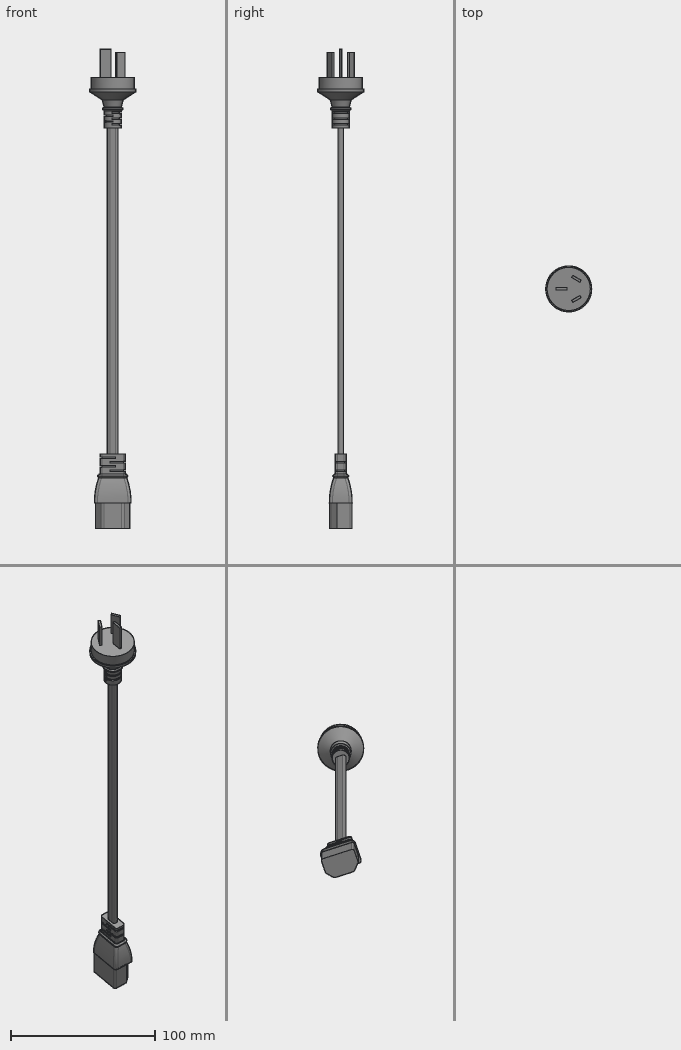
import cadquery as cq
import math

TOTAL_HEIGHT = 332.5
CORD_BOTTOM = 52.0
CORD_TOP = 277.5

CORD_WIDTH = 7.5
CORD_THICKNESS = 4.0

PLUG_FACE_Z = 313.0
PLUG_FACE_RADIUS = 15.0
FLANGE_RADIUS = 16.0
FLANGE_TOP_Z = 305.0
FLANGE_BOTTOM_Z = 303.0
CONE_BOTTOM_RADIUS = 7.3
CONE_BOTTOM_Z = 297.3
NECK_RADIUS = 6.0
COLLAR_RADIUS = 7.0
COLLAR_TOP_Z = 292.3
COLLAR_RIM_TOP_Z = 291.5
COLLAR_RIM_BOTTOM_Z = 290.5
COLLAR_BOTTOM_Z = 289.5
SLEEVE_RADIUS = 6.0

BLADE_THICKNESS = 1.5
EARTH_WIDTH = 7.5
EARTH_OFFSET = 5.0
SIDE_BLADE_WIDTH = 6.5
SIDE_BLADE_TOP_Z = 330.2
SIDE_BLADE_X = 5.3
SIDE_BLADE_Y = 7.0
SIDE_BLADE_TILT = 30.0

GROOVE_HEIGHT = 1.0
GROOVE_DEPTH = 1.3
PLUG_GROOVE_TOP_Z = 288.3
PLUG_GROOVE_PITCH = 2.0
PLUG_GROOVE_COUNT = 5
PLUG_GROOVE_OVERLAP = 0.3
CONNECTOR_GROOVE_TOP_Z = 49.2
CONNECTOR_GROOVE_PITCH = 3.0
CONNECTOR_GROOVE_COUNT = 4
CONNECTOR_GROOVE_OVERLAP = 2.0

SOCKET_WIDTH = 24.0
SOCKET_DEPTH = 15.5
SOCKET_HEIGHT = 18.0
SOCKET_CHAMFER_X = 4.5
SOCKET_CHAMFER_Y = 5.3
SOCKET_CHAMFER_ROUND = 3.0
SOCKET_BACK_ROUND = 1.3
GRIP_WIDTH = 25.5
GRIP_DEPTH = 16.0
GRIP_NARROWING = 3.0
GRIP_TOP_Z = 35.2
GRIP_CORNER_RADIUS = 2.15
RIDGE_TOP_Z = 38.0
RIDGE_PROJECTION = 1.83
RIDGE_CHAMFER = 1.25
RELIEF_WIDTH = 17.5
RELIEF_DEPTH = 7.5
RELIEF_CORNER_RADIUS = 1.5


def upright_block(width, depth, bottom, top):
    """Rectangular block centred on the Z axis between two heights."""
    return (
        cq.Workplane("XY").workplane(offset=bottom)
        .rect(width, depth).extrude(top - bottom)
    )


def half_space(side, overlap, size):
    """Block on one side (-1 or +1) in X that reaches `overlap` past the middle plane."""
    return (
        cq.Workplane("XY")
        .box(size, size, TOTAL_HEIGHT, centered=(True, True, False))
        .translate((side * (size / 2 - overlap), 0, 0))
    )


def make_cord():
    return (
        cq.Workplane("XY").workplane(offset=CORD_BOTTOM)
        .slot2D(CORD_WIDTH, CORD_THICKNESS)
        .extrude(CORD_TOP - CORD_BOTTOM)
    )


def make_plug_groove(index):
    """Groove around half of the plug's sleeve; the sides alternate, starting on +X."""
    side = 1 if index % 2 == 0 else -1
    middle = PLUG_GROOVE_TOP_Z - index * PLUG_GROOVE_PITCH
    ring = (
        cq.Workplane("XY").workplane(offset=middle - GROOVE_HEIGHT / 2)
        .circle(SLEEVE_RADIUS + GROOVE_DEPTH)
        .circle(SLEEVE_RADIUS - GROOVE_DEPTH)
        .extrude(GROOVE_HEIGHT)
    )
    return ring.intersect(half_space(side, PLUG_GROOVE_OVERLAP, 4 * SLEEVE_RADIUS))


def make_plug():
    profile = [
        (0, PLUG_FACE_Z),
        (PLUG_FACE_RADIUS, PLUG_FACE_Z),
        (PLUG_FACE_RADIUS, FLANGE_TOP_Z),
        (FLANGE_RADIUS, FLANGE_TOP_Z),
        (FLANGE_RADIUS, FLANGE_BOTTOM_Z),
        (CONE_BOTTOM_RADIUS, CONE_BOTTOM_Z),
        (NECK_RADIUS, COLLAR_TOP_Z),
        (COLLAR_RADIUS, COLLAR_RIM_TOP_Z),
        (COLLAR_RADIUS, COLLAR_RIM_BOTTOM_Z),
        (SLEEVE_RADIUS, COLLAR_BOTTOM_Z),
        (SLEEVE_RADIUS, CORD_TOP),
        (0, CORD_TOP),
    ]
    plug = cq.Workplane("XZ").polyline(profile).close().revolve(360, (0, 0), (0, 1))
    for index in range(PLUG_GROOVE_COUNT):
        plug = plug.cut(make_plug_groove(index))
    return plug


def make_earth_blade():
    blade = upright_block(EARTH_WIDTH, BLADE_THICKNESS, PLUG_FACE_Z, TOTAL_HEIGHT)
    return blade.translate((-EARTH_OFFSET, 0, 0))


def make_side_blade(side):
    """Live or neutral blade: its outer end in X turns towards the middle plane."""
    blade = upright_block(SIDE_BLADE_WIDTH, BLADE_THICKNESS, PLUG_FACE_Z, SIDE_BLADE_TOP_Z)
    blade = blade.rotate((0, 0, 0), (0, 0, 1), -side * SIDE_BLADE_TILT)
    return blade.translate((SIDE_BLADE_X, side * SIDE_BLADE_Y, 0))


def make_socket():
    """Block with two chamfered and rounded corners on -Y and two rounded ones on +Y."""
    half_width = SOCKET_WIDTH / 2
    half_depth = SOCKET_DEPTH / 2
    front_half = half_width - SOCKET_CHAMFER_X
    chamfer_y = SOCKET_CHAMFER_Y - half_depth
    outline = [
        (-half_width, half_depth),
        (-half_width, chamfer_y),
        (-front_half, -half_depth),
        (front_half, -half_depth),
        (half_width, chamfer_y),
        (half_width, half_depth),
    ]
    block = cq.Workplane("XY").polyline(outline).close().extrude(SOCKET_HEIGHT)
    block = block.edges("|Z").edges("<Y").fillet(SOCKET_CHAMFER_ROUND)
    return block.edges("|Z").edges(">Y").fillet(SOCKET_BACK_ROUND)


def make_grip_profile(plane, width, thickness):
    """Sides that start upright and curve inwards to a narrower top, extruded both ways."""
    half = width / 2
    rise = GRIP_TOP_Z - SOCKET_HEIGHT
    radius = (rise**2 + GRIP_NARROWING**2) / (2 * GRIP_NARROWING)
    half_angle = math.asin(rise / radius) / 2
    mid_x = half - radius * (1 - math.cos(half_angle))
    mid_z = SOCKET_HEIGHT + radius * math.sin(half_angle)
    top_x = half - GRIP_NARROWING
    return (
        cq.Workplane(plane)
        .moveTo(-half, SOCKET_HEIGHT)
        .lineTo(half, SOCKET_HEIGHT)
        .threePointArc((mid_x, mid_z), (top_x, GRIP_TOP_Z))
        .lineTo(-top_x, GRIP_TOP_Z)
        .threePointArc((-mid_x, mid_z), (-half, SOCKET_HEIGHT))
        .close()
        .extrude(thickness / 2, both=True)
    )


def make_grip():
    """Tapering body whose four curved corner edges are rounded."""
    across = make_grip_profile("XZ", GRIP_WIDTH, 2 * GRIP_DEPTH)
    along = make_grip_profile("YZ", GRIP_DEPTH, 2 * GRIP_WIDTH)
    grip = across.intersect(along)
    corner_edges = grip.edges("not(#Z)")
    return corner_edges.fillet(GRIP_CORNER_RADIUS)


def make_ridge():
    """Bevelled band that stands out around the foot of the strain relief."""
    width = RELIEF_WIDTH + 2 * RIDGE_PROJECTION
    depth = RELIEF_DEPTH + 2 * RIDGE_PROJECTION
    block = upright_block(width, depth, GRIP_TOP_Z, RIDGE_TOP_Z)
    block = block.edges("|Z").fillet(RELIEF_CORNER_RADIUS + RIDGE_PROJECTION)
    return block.faces("<Z or >Z").edges().chamfer(RIDGE_CHAMFER)


def make_connector_groove(index):
    """Groove wrapped around one end of the strain relief; the ends alternate, starting on -X."""
    side = -1 if index % 2 == 0 else 1
    middle = CONNECTOR_GROOVE_TOP_Z - index * CONNECTOR_GROOVE_PITCH
    bottom = middle - GROOVE_HEIGHT / 2
    top = middle + GROOVE_HEIGHT / 2
    outside = upright_block(2 * RELIEF_WIDTH, 2 * RELIEF_DEPTH, bottom, top)
    core = upright_block(RELIEF_WIDTH - 2 * GROOVE_DEPTH, RELIEF_DEPTH - 2 * GROOVE_DEPTH, bottom, top)
    return outside.cut(core).intersect(half_space(side, CONNECTOR_GROOVE_OVERLAP, 2 * RELIEF_WIDTH))


def make_connector_relief():
    relief = upright_block(RELIEF_WIDTH, RELIEF_DEPTH, RIDGE_TOP_Z, CORD_BOTTOM)
    relief = relief.edges("|Z").fillet(RELIEF_CORNER_RADIUS)
    for index in range(CONNECTOR_GROOVE_COUNT):
        relief = relief.cut(make_connector_groove(index))
    return relief


def make_connector():
    return make_socket().union(make_grip()).union(make_ridge()).union(make_connector_relief())


cord = make_cord()
plug = make_plug()
earth_blade = make_earth_blade()
side_blades = [make_side_blade(side) for side in (-1, 1)]
connector = make_connector()

result = cq.Compound.makeCompound([
    cord.val(),
    plug.val(),
    earth_blade.val(),
    *[blade.val() for blade in side_blades],
    connector.val(),
])